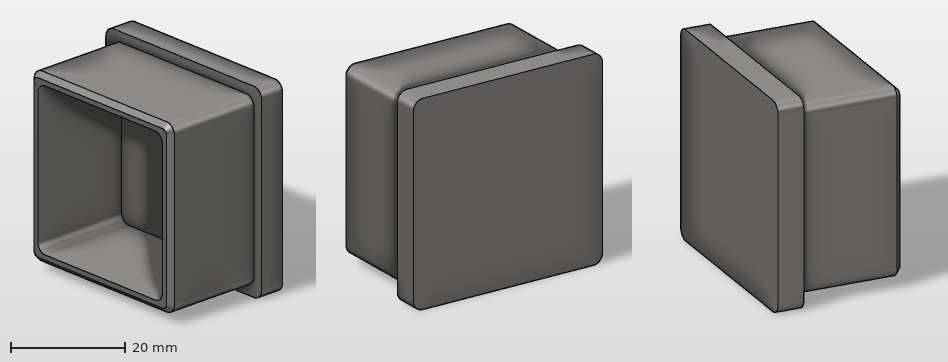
import cadquery as cq

flange_side = 40.0
flange_thickness = 5.0
overall_depth = 25.0
flange_overhang = 2.0
plug_wall = 2.0
corner_radius = 2.0
plug_chamfer = 1.0

plug_side = flange_side - 2 * flange_overhang
plug_length = overall_depth - flange_thickness
pocket_side = plug_side - 2 * plug_wall
pocket_depth = plug_length


def rounded_block(side, length):
    """Square block with rounded corners, running from Y = 0 toward -Y."""
    block = cq.Workplane("XZ").rect(side, side).extrude(length)
    return block.edges("|Y").fillet(corner_radius)


def make_flange():
    """Flange whose plug-side face lies on Y = 0."""
    flange = rounded_block(flange_side, flange_thickness)
    return flange.translate((0, flange_thickness, 0))


def make_plug():
    """Plug with a lead-in chamfer around its open end."""
    return rounded_block(plug_side, plug_length).faces("<Y").edges().chamfer(plug_chamfer)


def make_pocket():
    """Blind square pocket, open at the plug's free end."""
    pocket = rounded_block(pocket_side, pocket_depth)
    return pocket.translate((0, pocket_depth - plug_length, 0))


result = make_flange().union(make_plug()).cut(make_pocket())